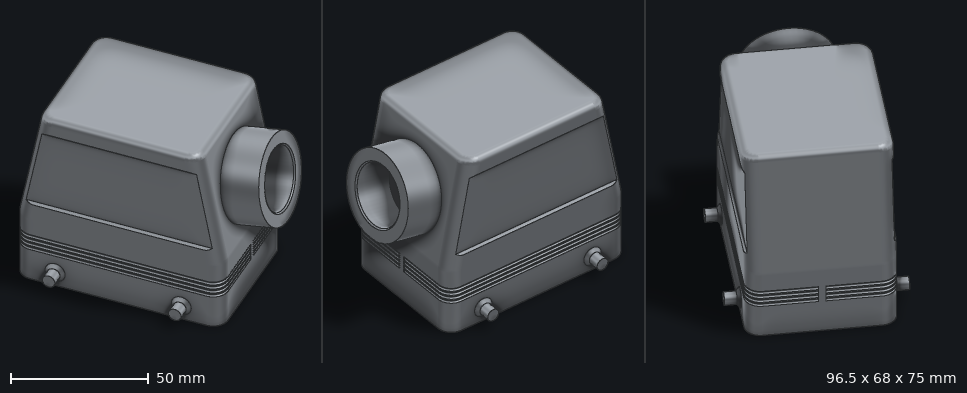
import cadquery as cq
import math

body_length = 82.0
body_width = 56.05
body_height = 75.0
taper_start = 28.1
taper_angle = 11.0
taper_blend = 6.8
corner_radius = 6.0
top_radius = 3.0

recess_depth = 1.0
recess_bottom = 34.2
recess_top = 68.1

groove_count = 4
groove_lowest = 14.0
groove_pitch = 1.8
groove_radius = 0.6
groove_gap = 2.7

pin_span = 68.0
pin_spacing = 50.0
pin_height = 6.0
pin_diameter = 5.0
pin_foot_diameter = 7.9
pin_foot_length = 1.35

overall_length = 96.5
neck_height = 49.7
neck_diameter = 36.0
bore_diameter = 26.0
bore_chamfer = 0.6

half_length = body_length / 2
half_width = body_width / 2
lean = math.radians(taper_angle)


def wall_x(height):
    """X of the leaning end wall at a height above the taper start."""
    return half_length - (height - taper_start) * math.tan(lean)


def make_body():
    top_half_length = wall_x(body_height)
    right_side = [(half_length, 0), (half_length, taper_start), (top_half_length, body_height)]
    left_side = [(-x, z) for x, z in reversed(right_side)]
    body = (
        cq.Workplane("XZ")
        .polyline(right_side + left_side)
        .close()
        .extrude(half_width, both=True)
    )
    body = body.edges("|Y").edges("not(<Z or >Z)").fillet(taper_blend)
    body = body.faces("<Y or >Y").edges("not(<Z or >Z)").fillet(corner_radius)
    return body.faces(">Z").edges().fillet(top_radius)


def cut_recesses(body):
    floor_y = half_width - recess_depth
    section = [
        (half_width, recess_bottom),
        (floor_y, recess_bottom + recess_depth),
        (floor_y, recess_top - recess_depth),
        (half_width, recess_top),
    ]
    recess = cq.Workplane("YZ").polyline(section).close().extrude(half_length, both=True)
    return body.cut(recess).cut(recess.mirror("XZ"))


def cut_grooves(body):
    gap = cq.Workplane("XY").box(2 * body_length, groove_gap, 2 * body_height)
    for index in range(groove_count):
        height = groove_lowest + index * groove_pitch
        outline = cq.Workplane("XY", origin=(0, 0, height)).rect(body_length, body_width).val()
        path = outline.fillet2D(corner_radius, outline.Vertices())
        section = cq.Workplane("YZ", origin=(0, -half_width, height)).circle(groove_radius)
        groove = section.sweep(cq.Workplane(path))
        body = body.cut(groove.cut(gap))
    return body


def make_pin(x):
    """Pin with a conical foot on the -Y side."""
    tip_y = pin_span / 2
    pin_radius = pin_diameter / 2
    half_section = [
        (0, 0),
        (pin_foot_diameter / 2, 0),
        (pin_foot_diameter / 2, half_width),
        (pin_radius, half_width + pin_foot_length),
        (pin_radius, tip_y),
        (0, tip_y),
    ]
    return (
        cq.Workplane("XY")
        .polyline(half_section)
        .close()
        .revolve(360, (0, 0), (0, 1))
        .mirror("XZ")
        .translate((x, 0, pin_height))
    )


def add_pins(body):
    for x in (-pin_spacing / 2, pin_spacing / 2):
        pin = make_pin(x)
        body = body.union(pin).union(pin.mirror("XZ"))
    return body


def add_neck(body):
    neck_axis = cq.Vector(math.cos(lean), 0, math.sin(lean))
    wall_point = cq.Vector(wall_x(neck_height), 0, neck_height)
    rim_overhang = neck_diameter / 2 * math.sin(lean)
    tip_x = overall_length - half_length
    neck_length = (tip_x - rim_overhang - wall_point.x) / math.cos(lean)
    wall_plane = cq.Plane(origin=wall_point, xDir=(0, 1, 0), normal=neck_axis)
    root = cq.Workplane(wall_plane).workplane(offset=-corner_radius)
    neck = root.circle(neck_diameter / 2).extrude(neck_length + corner_radius)
    bore_radius = bore_diameter / 2
    throat_radius = bore_radius - bore_chamfer
    bore_section = [
        (0, 0),
        (throat_radius, 0),
        (throat_radius, neck_length - bore_chamfer),
        (bore_radius, neck_length),
        (0, neck_length),
    ]
    bore_plane = cq.Plane(wall_point, xDir=(0, 1, 0), normal=(math.sin(lean), 0, -math.cos(lean)))
    bore = cq.Workplane(bore_plane).polyline(bore_section).close().revolve(360, (0, 0), (0, 1))
    return body.union(neck).cut(bore)


body = make_body()
body = cut_recesses(body)
body = cut_grooves(body)
body = add_pins(body)
result = add_neck(body)